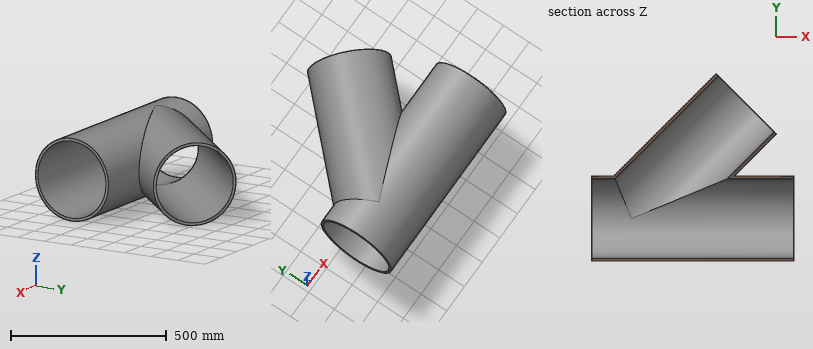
import cadquery as cq
import math

outer_diameter = 273.5
inner_diameter = 254.5
run_length = 648.0
branch_length = 520.0
branch_offset = 127.5
branch_angle = math.radians(45)

run_start = (0, 0, 0)
run_direction = (1, 0, 0)
axis_crossing = (branch_offset, 0, 0)
branch_direction = (math.cos(branch_angle), math.sin(branch_angle), 0)


def cylinder(diameter, length, start, direction):
    """Solid cylinder extending from start along direction."""
    plane = cq.Plane(origin=start, xDir=(0, 0, 1), normal=direction)
    return cq.Workplane(plane).circle(diameter / 2).extrude(length)


def pipe_union(diameter):
    """Run and branch of one diameter, joined at the axis crossing."""
    run = cylinder(diameter, run_length, run_start, run_direction)
    branch = cylinder(diameter, branch_length, axis_crossing, branch_direction)
    return run.union(branch)


result = pipe_union(outer_diameter).cut(pipe_union(inner_diameter))